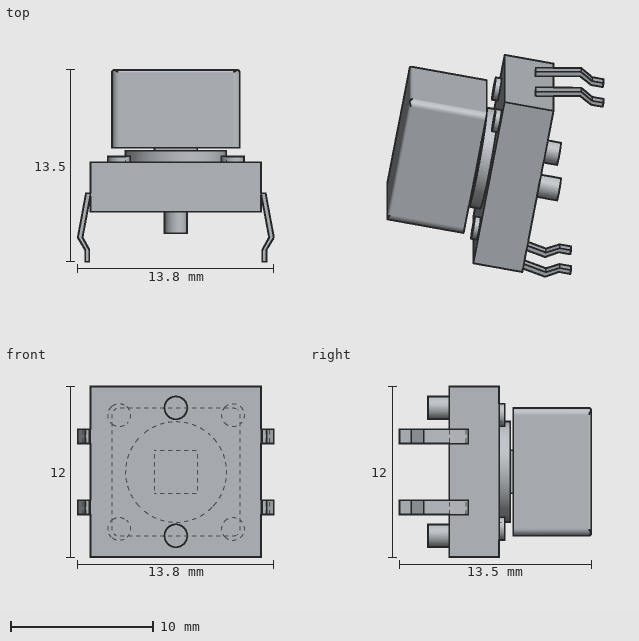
import cadquery as cq

housing_side = 12.0
housing_depth = 3.5
collar_diameter = 7.1
collar_height = 0.8
peg_diameter = 1.6
peg_length = 1.5
peg_offset = 4.5
boss_diameter = 1.6
boss_height = 0.4
boss_offset = 4.0

lead_span = 13.8
lead_width = 1.02
lead_thickness = 0.3
lead_row_offset = 2.5
lead_root_y = 1.32
lead_root_height = 0.17
lead_shoulder_x = 6.32
lead_knee_y = -1.8
lead_ankle_y = -2.68
lead_tip_y = -3.5
lead_foot_x = 6.38
lead_bend_thickness = 0.35

stem_side = 3.04
cap_side = 9.0
cap_height = 5.49
cap_gap = 1.0
cap_corner_radius = 0.5
cap_top_radius = 0.2

collar_top_y = housing_depth + collar_height
cap_bottom_y = housing_depth + cap_gap


def block(side_x, side_z, start_y, length):
    """Box centred on the Y axis, running toward +Y from start_y."""
    return cq.Workplane("XY").box(side_x, length, side_z).translate((0, start_y + length / 2, 0))


def cylinder(diameter, start_y, length, x=0, z=0):
    """Cylinder parallel to Y, running toward +Y from start_y."""
    axis = cq.Vector(0, 1, 0)
    return cq.Workplane(cq.Solid.makeCylinder(diameter / 2, length, cq.Vector(x, start_y, z), axis))


def make_lead(side, z):
    """Bent strip leaving the +X (side = 1) or -X (side = -1) face of the housing."""
    wall_x = housing_side / 2
    knee_x = lead_span / 2
    outline = [
        (wall_x, lead_root_y),
        (lead_shoulder_x, lead_root_y),
        (knee_x, lead_knee_y),
        (lead_foot_x, lead_ankle_y),
        (lead_foot_x, lead_tip_y),
        (lead_foot_x - lead_thickness, lead_tip_y),
        (lead_foot_x - lead_thickness, lead_ankle_y),
        (knee_x - lead_bend_thickness, lead_knee_y),
        (wall_x, lead_root_y - lead_root_height),
    ]
    points = [(side * x, y) for x, y in outline]
    strip = cq.Workplane("XY").polyline(points).close().extrude(lead_width / 2, both=True)
    return strip.translate((0, 0, z))


def make_housing():
    """Block with collar, corner bosses, locating pegs and leads."""
    housing = block(housing_side, housing_side, 0, housing_depth)
    housing = housing.union(cylinder(collar_diameter, housing_depth, collar_height))
    for side_z in (-1, 1):
        housing = housing.union(cylinder(peg_diameter, -peg_length, peg_length, z=side_z * peg_offset))
        for side_x in (-1, 1):
            boss_x = side_x * boss_offset
            boss_z = side_z * boss_offset
            housing = housing.union(cylinder(boss_diameter, housing_depth, boss_height, boss_x, boss_z))
            housing = housing.union(make_lead(side_x, side_z * lead_row_offset))
    return housing


def make_stem():
    """Square post filling the gap between the collar and the cap."""
    return block(stem_side, stem_side, collar_top_y, cap_bottom_y - collar_top_y)


def make_cap():
    """Square cap with rounded sides and a rounded rim on its +Y face."""
    blank = block(cap_side, cap_side, cap_bottom_y, cap_height)
    rounded_sides = blank.edges("|Y").fillet(cap_corner_radius)
    rounded_top = blank.faces(">Y").edges().fillet(cap_top_radius)
    return rounded_sides.intersect(rounded_top)


housing = make_housing()
stem = make_stem()
cap = make_cap()

result = cq.Compound.makeCompound([housing.val(), stem.val(), cap.val()])